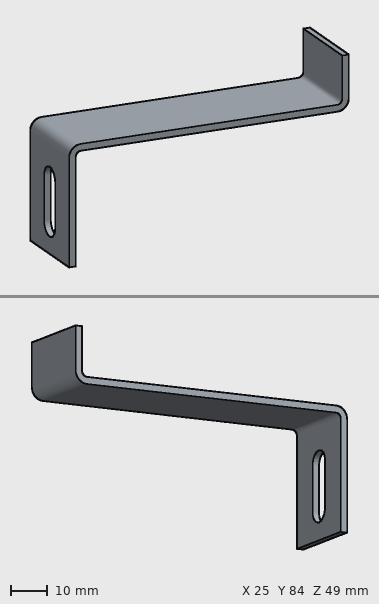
import cadquery as cq

width = 25.0
length = 84.0
height = 49.0

thickness = 2.0
inner_radius = 1.5
outer_radius = inner_radius + thickness

web_top = 35.0
web_bottom = web_top - thickness

slot_width = 7.0
slot_length = 20.0
slot_bottom = 5.0


def bent_strip():
    """Front flange down, web along Y, rear flange up, with sharp bends rounded."""
    strip = (
        cq.Workplane("YZ")
        .moveTo(0, 0)
        .lineTo(thickness, 0)
        .lineTo(thickness, web_bottom)
        .lineTo(length, web_bottom)
        .lineTo(length, height)
        .lineTo(length - thickness, height)
        .lineTo(length - thickness, web_top)
        .lineTo(0, web_top)
        .close()
        .extrude(width / 2, both=True)
    )
    inner_corners = [(thickness, web_bottom), (length - thickness, web_top)]
    outer_corners = [(0, web_top), (length, web_bottom)]
    for corners, radius in ((inner_corners, inner_radius), (outer_corners, outer_radius)):
        for y, z in corners:
            bend_edge = cq.selectors.NearestToPointSelector((0, y, z))
            strip = strip.edges("|X").edges(bend_edge).fillet(radius)
    return strip


def flange_slot():
    """Round-ended cutter through the front flange."""
    return (
        cq.Workplane("XZ")
        .center(0, slot_bottom + slot_length / 2)
        .slot2D(slot_length, slot_width, 90)
        .extrude(-thickness)
    )


result = bent_strip().cut(flange_slot())